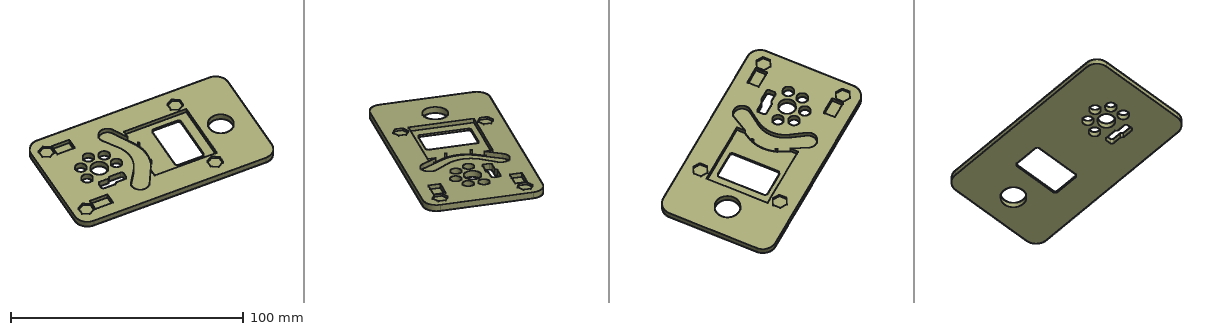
import cadquery as cq
import math

plate_width = 53.7
plate_length = 95.05
plate_thickness = 3.0
plate_corner_radius = 6.0

large_hole_diameter = 11.2
large_hole_y = 33.5

screen_width = 29.3
screen_top_y = 24.1
screen_bottom_y = -5.9
screen_depth = 2.0
window_width = 23.8
window_top_y = 19.7
window_bottom_y = 5.8
window_corner_radius = 1.2

tab_width = 12.4
tab_top_y = -3.0

bow_depth = 2.4
bow_end_radius = 4.0
bow_left_end = (-15.9, -13.2)
bow_right_end = (15.9, -13.5)
bow_outer_radius = 16.2
bow_outer_top_y = -2.2
bow_inner_radius = 13.2
bow_inner_top_y = -10.1

ring_center_y = -25.2
center_hole_diameter = 7.7
ring_hole_diameter = 5.0
ring_radius = 8.0
ring_places = 7
ring_holes = 5
ring_start_angle = 86.4

slot_width = 4.3
slot_left_x = 6.5
slot_shift = 0.9
slot_top_y = -17.2
slot_bottom_y = -29.7
slot_right_step_y = -22.5
slot_left_step_y = -23.7
slot_corner_radius = 1.0

hex_across_corners = 6.9
hex_depth = 1.0
hex_x = 19.0
hex_y_positions = (21.1, -41.1)
block_width = 5.4
block_length = 8.5
block_depth = 2.0
block_x = 18.25
block_y = -33.4


def box_between(width, bottom_y, top_y, bottom_z):
    """Box centred on X, from bottom_z up to the top face."""
    return (
        cq.Workplane("XY", origin=(0, 0, bottom_z))
        .center(0, (bottom_y + top_y) / 2)
        .rect(width, top_y - bottom_y)
        .extrude(plate_thickness - bottom_z)
    )


def cylinder_through(diameter, x, y):
    return cq.Workplane("XY").center(x, y).circle(diameter / 2).extrude(plate_thickness)


def point_on(center, radius, angle):
    return (center[0] + radius * math.cos(angle), center[1] + radius * math.sin(angle))


def tangent_angle(middle, end, radius_difference):
    """Direction of the upward normal of a tangent line from the middle circle to an end circle.

    For a line with both circles below it, the difference is middle radius minus end radius.
    For a line passing between the circles, the end radius counts as negative.
    """
    dx = end[0] - middle[0]
    dy = end[1] - middle[1]
    swing = math.acos(radius_difference / math.hypot(dx, dy))
    side = 1 if dx > 0 else -1
    return math.atan2(dy, dx) + side * swing


def make_plate():
    return (
        cq.Workplane("XY")
        .rect(plate_width, plate_length)
        .extrude(plate_thickness)
        .edges("|Z")
        .fillet(plate_corner_radius)
    )


def make_screen_pocket():
    floor_z = plate_thickness - screen_depth
    pocket = box_between(screen_width, screen_bottom_y, screen_top_y, floor_z)
    tab = box_between(tab_width, screen_bottom_y, tab_top_y, floor_z)
    return pocket.cut(tab)


def make_window():
    window = box_between(window_width, window_bottom_y, window_top_y, 0)
    return window.edges("|Z").fillet(window_corner_radius)


def make_bow_pocket():
    outer_center = (0, bow_outer_top_y - bow_outer_radius)
    inner_center = (0, bow_inner_top_y - bow_inner_radius)
    outer_difference = bow_outer_radius - bow_end_radius
    inner_sum = bow_inner_radius + bow_end_radius
    outer_left = tangent_angle(outer_center, bow_left_end, outer_difference)
    outer_right = tangent_angle(outer_center, bow_right_end, outer_difference)
    inner_left = tangent_angle(inner_center, bow_left_end, inner_sum)
    inner_right = tangent_angle(inner_center, bow_right_end, inner_sum)
    return (
        cq.Workplane("XY", origin=(0, 0, plate_thickness - bow_depth))
        .moveTo(*point_on(bow_left_end, bow_end_radius, outer_left))
        .lineTo(*point_on(outer_center, bow_outer_radius, outer_left))
        .threePointArc((0, bow_outer_top_y), point_on(outer_center, bow_outer_radius, outer_right))
        .lineTo(*point_on(bow_right_end, bow_end_radius, outer_right))
        .threePointArc(
            point_on(bow_right_end, bow_end_radius, (outer_right + inner_right - math.pi) / 2),
            point_on(bow_right_end, bow_end_radius, inner_right - math.pi),
        )
        .lineTo(*point_on(inner_center, bow_inner_radius, inner_right))
        .threePointArc((0, bow_inner_top_y), point_on(inner_center, bow_inner_radius, inner_left))
        .lineTo(*point_on(bow_left_end, bow_end_radius, inner_left + math.pi))
        .threePointArc(
            point_on(bow_left_end, bow_end_radius, (outer_left + inner_left + math.pi) / 2),
            point_on(bow_left_end, bow_end_radius, outer_left),
        )
        .close()
        .extrude(bow_depth)
    )


def make_ring_of_holes():
    holes = cylinder_through(center_hole_diameter, 0, ring_center_y)
    for place in range(ring_holes):
        angle = math.radians(ring_start_angle + place * 360 / ring_places)
        x, y = point_on((0, ring_center_y), ring_radius, angle)
        holes = holes.union(cylinder_through(ring_hole_diameter, x, y))
    return holes


def make_stepped_slot():
    right_x = slot_left_x + slot_width
    outline = [
        (slot_left_x, slot_top_y),
        (right_x, slot_top_y),
        (right_x, slot_right_step_y),
        (right_x + slot_shift, slot_right_step_y - slot_shift),
        (right_x + slot_shift, slot_bottom_y),
        (slot_left_x + slot_shift, slot_bottom_y),
        (slot_left_x + slot_shift, slot_left_step_y - slot_shift),
        (slot_left_x, slot_left_step_y),
    ]
    slot = cq.Workplane("XY").polyline(outline).close().extrude(plate_thickness)
    return slot.faces("<Y or >Y").edges("|Z").fillet(slot_corner_radius)


def make_hex_recesses():
    centers = [(side * hex_x, y) for side in (-1, 1) for y in hex_y_positions]
    return (
        cq.Workplane("XY", origin=(0, 0, plate_thickness - hex_depth))
        .pushPoints(centers)
        .polygon(6, hex_across_corners)
        .extrude(hex_depth)
    )


def make_block_recesses():
    return (
        cq.Workplane("XY", origin=(0, 0, plate_thickness - block_depth))
        .pushPoints([(-block_x, block_y), (block_x, block_y)])
        .rect(block_width, block_length)
        .extrude(block_depth)
    )


result = (
    make_plate()
    .cut(cylinder_through(large_hole_diameter, 0, large_hole_y))
    .cut(make_screen_pocket())
    .cut(make_window())
    .cut(make_bow_pocket())
    .cut(make_ring_of_holes())
    .cut(make_stepped_slot())
    .cut(make_hex_recesses())
    .cut(make_block_recesses())
)